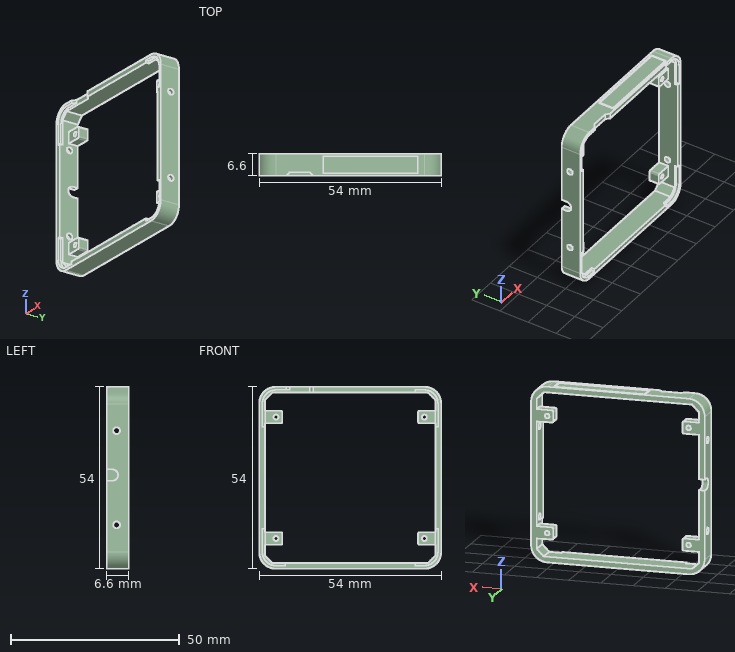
import cadquery as cq

side = 54.0
depth = 6.6
half = side / 2
wall = 1.8
corner_radius = 5.0
inner_chamfer = 2.15

step_depth = 1.0
step_lip = 0.95
step_reach_x = 7.7
step_reach_z = 11.9

notch_start = 9.05
notch_floor = 6.0
notch_slope = step_depth

label_length = 28.1
label_width = 4.95
label_depth = 0.2
label_center_x = 6.0

tab_end = 6.9
tab_height = 3.8
tab_thickness = 3.3
tab_fillet = 0.5
tab_center = 9.0
tab_hole_inset = 5.0
tab_hole_diameter = 1.4

cross_hole_diameter = 1.95
cross_hole_spacing = 27.9
cross_hole_from_back = 2.95

slot_width = 3.35
slot_depth = 3.4
slot_center_z = 0.8


def block(x_range, y_range, z_range):
    """Box between the given limits along each axis."""
    limits = (x_range, y_range, z_range)
    sizes = [high - low for low, high in limits]
    corner = tuple(low for low, high in limits)
    return cq.Workplane("XY").box(*sizes, centered=False).translate(corner)


def square_prism(width, length):
    """Square block centred on the Y axis, running from the front face towards +Y."""
    return cq.Workplane("XZ").rect(width, width).extrude(-length)


def ring():
    outer = square_prism(side, depth).edges("|Y").fillet(corner_radius)
    opening = square_prism(side - 2 * wall, depth).edges("|Y").chamfer(inner_chamfer)
    return outer.cut(opening)


def tab(x_sign, z_sign):
    """Tab reaching inwards from a side bar, with rounded free corners and a screw hole."""
    root = half - wall / 2
    tip = half - tab_end
    body = (
        cq.Workplane("XZ", origin=(0, depth - tab_thickness, 0))
        .center(x_sign * (root + tip) / 2, z_sign * (half - tab_center))
        .rect(root - tip, tab_height)
        .extrude(-tab_thickness)
    )
    free_side = "<X" if x_sign > 0 else ">X"
    body = body.faces(free_side).edges("|Y").fillet(tab_fillet)
    hole = (
        cq.Workplane("XZ")
        .center(x_sign * (half - tab_hole_inset), z_sign * (half - tab_center))
        .circle(tab_hole_diameter / 2)
        .extrude(-depth)
    )
    return body.cut(hole)


def corner_step(x_sign, z_sign, reach_x):
    """Part of the recessed, round-cornered square that lies near one corner."""
    recess = square_prism(side - 2 * step_lip, step_depth)
    recess = recess.edges("|Y").fillet(corner_radius - step_lip)
    x_range = sorted((x_sign * half, x_sign * (half - reach_x)))
    z_range = sorted((z_sign * half, z_sign * (half - step_reach_z)))
    return recess.intersect(block(x_range, (0, step_depth), z_range))


def notch():
    left = notch_start - half
    right = left + notch_floor
    return (
        cq.Workplane("XY", origin=(0, 0, half - wall))
        .polyline([
            (left - notch_slope, 0),
            (right + notch_slope, 0),
            (right, step_depth),
            (left, step_depth),
        ])
        .close()
        .extrude(wall)
    )


def label_pocket():
    return (
        cq.Workplane("XY", origin=(label_center_x, depth / 2, half))
        .rect(label_length, label_width)
        .extrude(-label_depth)
    )


def cross_holes():
    hole_y = depth - cross_hole_from_back
    return (
        cq.Workplane("YZ", origin=(-half, hole_y, 0))
        .pushPoints([(0, -cross_hole_spacing / 2), (0, cross_hole_spacing / 2)])
        .circle(cross_hole_diameter / 2)
        .extrude(side)
    )


def cable_slot():
    radius = slot_width / 2
    round_center_y = depth - slot_depth + radius
    bar = (-half, wall - half)
    straight = block(bar, (round_center_y, depth), (slot_center_z - radius, slot_center_z + radius))
    round_end = (
        cq.Workplane("YZ", origin=(-half, round_center_y, slot_center_z))
        .circle(radius)
        .extrude(wall)
    )
    return straight.union(round_end)


result = ring()
for x_sign in (-1, 1):
    for z_sign in (-1, 1):
        result = result.union(tab(x_sign, z_sign))
        meets_notch = x_sign < 0 and z_sign > 0
        reach_x = notch_start if meets_notch else step_reach_x
        result = result.cut(corner_step(x_sign, z_sign, reach_x))

for cutter in (notch(), label_pocket(), cross_holes(), cable_slot()):
    result = result.cut(cutter)